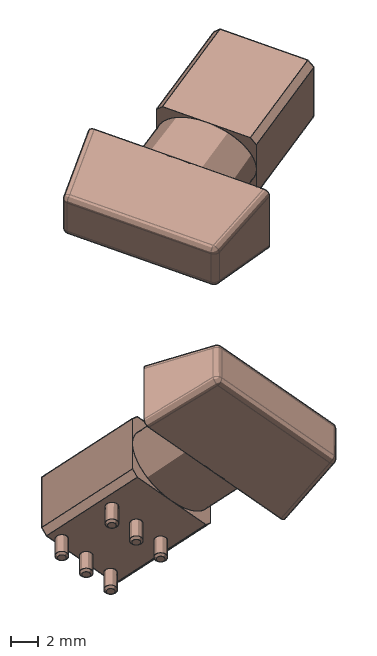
import cadquery as cq

part_length = 19.85
part_height = 5.9

cap_width = 14.75
cap_length = 6.35
cap_draft_angle = 10.0
edge_size = 0.5

housing_width = 8.14
housing_length = 9.15
neck_length = part_length - cap_length - housing_length

pin_diameter = 1.0
pin_length = 1.8
pin_chamfer = 0.18
pin_columns = 3
pin_rows = 2
pin_column_pitch = 2.55
pin_row_pitch = 5.05
rear_pin_inset = 0.55

front_y = -part_length / 2
cap_back_y = front_y + cap_length
housing_front_y = cap_back_y + neck_length
housing_back_y = housing_front_y + housing_length


def xz_plane(y):
    """Plane at the given Y, facing -Y, with its local axes along X and Z."""
    return cq.Workplane("XZ", origin=(0, y, 0))


def make_cap():
    """Drafted block with rounded edges everywhere except around its back face."""
    block = xz_plane(cap_back_y).rect(cap_width, part_height).extrude(cap_length, taper=cap_draft_angle)
    rounded_edges = block.edges("not(>Y)")
    return rounded_edges.fillet(edge_size)


def make_pin(x, y):
    """Round pin hanging from the housing underside, chamfered at its tip."""
    pin = cq.Workplane("XY", origin=(x, y, -part_height / 2)).circle(pin_diameter / 2).extrude(-pin_length)
    return pin.faces("<Z").chamfer(pin_chamfer)


def make_housing():
    """Chamfered box with its oval neck and a grid of pins, as one solid."""
    box = xz_plane(housing_back_y).rect(housing_width, part_height).extrude(housing_length)
    box = box.edges("|Y").chamfer(edge_size)
    neck = xz_plane(housing_front_y).ellipse(housing_width / 2, part_height / 2).extrude(neck_length)
    housing = box.union(neck)
    for row in range(pin_rows):
        y = housing_back_y - rear_pin_inset - row * pin_row_pitch
        for column in range(pin_columns):
            x = (column - (pin_columns - 1) / 2) * pin_column_pitch
            housing = housing.union(make_pin(x, y))
    return housing


cap = make_cap()
housing = make_housing()
result = cq.Compound.makeCompound([cap.solids().val(), housing.solids().val()])